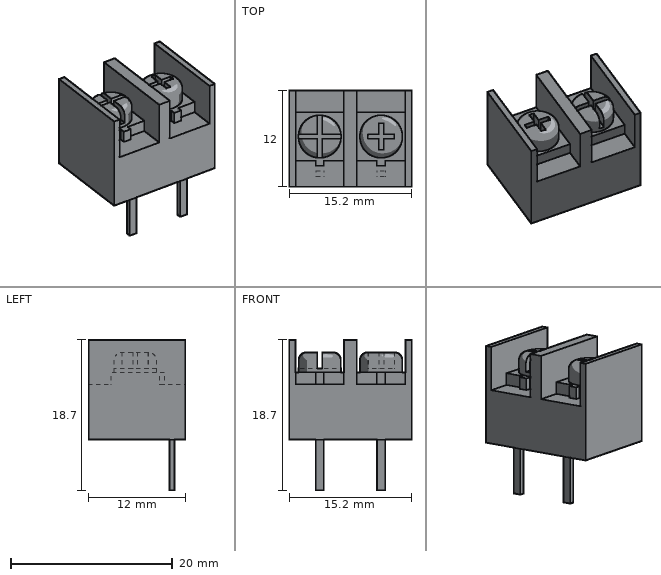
import cadquery as cq


pitch = 7.62
pole_count = 2
housing_width = pole_count * pitch
housing_depth = 12.0
housing_height = 12.4
channel_width = 6.0
floor_height = 6.85

plate_length = 6.0
plate_thickness = 1.5
plate_center_y = 0.25
plate_top = floor_height + plate_thickness
plate_front_y = plate_center_y - plate_length / 2
tab_width = 1.05
tab_length = 0.65

head_diameter = 5.3
head_height = 2.5
head_round = 1.0
head_top = plate_top + head_height
head_flat_diameter = head_diameter - 2 * head_round
slot_width = 0.6
slot_depth = 2.0

pin_width = tab_width
pin_thickness = tab_length
pin_length = 6.3
pin_center_y = -4.35

left_pole_x = -pitch / 2
right_pole_x = pitch / 2


def box_on(width, length, height, x, y, bottom):
    """Box centred on (x, y) and standing on the height `bottom`."""
    return cq.Workplane("XY").box(width, length, height, centered=(True, True, False)).translate((x, y, bottom))


def make_housing():
    """Block with one open-ended channel per pole, leaving the barrier walls."""
    housing = box_on(housing_width, housing_depth, housing_height, 0, 0, 0)
    for x in (left_pole_x, right_pole_x):
        channel = box_on(channel_width, housing_depth, housing_height - floor_height, x, 0, floor_height)
        housing = housing.cut(channel)
    return housing


def make_contact_plate(x):
    plate = box_on(channel_width, plate_length, plate_thickness, x, plate_center_y, floor_height)
    tab_center_y = plate_front_y - tab_length / 2
    tab = box_on(tab_width, tab_length, plate_thickness, x, tab_center_y, floor_height)
    return plate.union(tab)


def make_cross(x, arm_length):
    """Cross-shaped cutter for a screw drive, sunk from the top of the head."""
    bottom = head_top - slot_depth
    arm_along_x = box_on(arm_length, slot_width, slot_depth, x, plate_center_y, bottom)
    arm_along_y = box_on(slot_width, arm_length, slot_depth, x, plate_center_y, bottom)
    return arm_along_x.union(arm_along_y)


def make_screw_head(x):
    head = cq.Workplane("XY").circle(head_diameter / 2).extrude(head_height)
    head = head.faces(">Z").edges().fillet(head_round)
    return head.translate((x, plate_center_y, plate_top))


def make_slotted_screw(x):
    """Screw head whose cross slots run out through its side."""
    return make_screw_head(x).cut(make_cross(x, head_diameter))


def make_recessed_screw(x):
    """Screw head whose cross recess stays within its flat top."""
    flat_column = cq.Workplane("XY").circle(head_flat_diameter / 2).extrude(head_top)
    flat_column = flat_column.translate((x, plate_center_y, 0))
    recess = make_cross(x, head_flat_diameter).intersect(flat_column)
    return make_screw_head(x).cut(recess)


def make_pin(x):
    return box_on(pin_width, pin_thickness, pin_length, x, pin_center_y, -pin_length)


result = make_housing()
for pole_x in (left_pole_x, right_pole_x):
    result = result.union(make_contact_plate(pole_x))
    result = result.union(make_pin(pole_x))
result = result.union(make_slotted_screw(left_pole_x))
result = result.union(make_recessed_screw(right_pole_x))